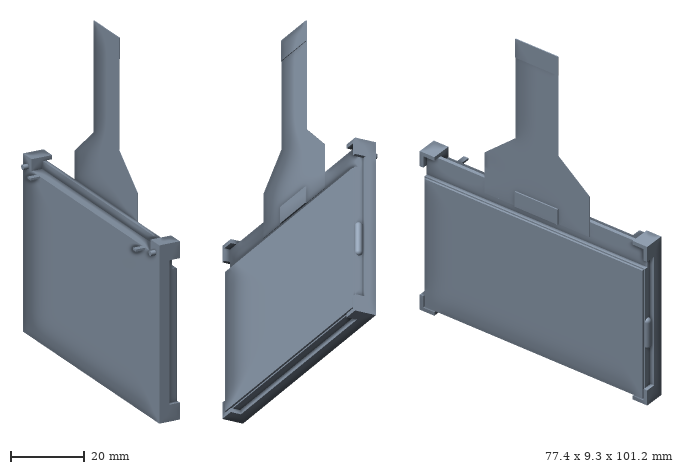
import cadquery as cq


housing_width = 77.4
housing_height = 52.2
housing_depth = 6.4
plate_thickness = 3.2
corner_length = 5.0
corner_wall = 1.2
shelf_height = 48.8

peg_diameter = 1.5
peg_length = 1.5
peg_edge_distance = 2.5
peg_height = 49.3
lead_width = 1.6
lead_thickness = 0.6
lead_length = 2.9
lead_edge_distance = 8.8

cell_gap = 0.3
glass_thickness = 1.1
cell_width = housing_width - 2 * corner_wall
cell_bottom = corner_wall
cell_top = housing_height - corner_wall
front_glass_top = 44.1
polarizer_inset = 0.4
rear_glass_y = plate_thickness + cell_gap
front_glass_y = rear_glass_y + glass_thickness
polarizer_y = front_glass_y + glass_thickness

seal_radius = glass_thickness
seal_bottom = 18.6
seal_top = 26.4

cable_thickness = 0.1
cable_bottom = 46.0
cable_taper_start = 59.4
cable_taper_end = 68.4
cable_top = 101.2
cable_base_width = 35.7
cable_tail_width = 14.6
stiffener_thickness = 0.2
stiffener_height = 6.2
bond_pad_thickness = 0.4


def block(width, x_center, y_start, y_end, z_start, z_end):
    """Box given by its X width and centre and by its Y and Z limits."""
    size = (width, y_end - y_start, z_end - z_start)
    return cq.Workplane("XY").box(*size, centered=(True, False, False)).translate(
        (x_center, y_start, z_start)
    )


def make_housing():
    """Back plate with four L-shaped corner walls, two pegs and two leads."""
    body = block(housing_width, 0, 0, housing_depth, 0, housing_height)

    body = body.cut(block(cell_width, 0, plate_thickness, housing_depth, cell_bottom, cell_top))

    opening_width = housing_width - 2 * corner_length
    opening_top = housing_height - corner_length
    body = body.cut(block(opening_width, 0, plate_thickness, housing_depth, 0, housing_height))
    body = body.cut(block(housing_width, 0, plate_thickness, housing_depth, corner_length, opening_top))

    body = body.cut(block(opening_width, 0, 0, plate_thickness, shelf_height, housing_height))

    for side in (-1, 1):
        peg_x = side * (housing_width / 2 - peg_edge_distance)
        peg = (
            cq.Workplane("XZ")
            .center(peg_x, peg_height)
            .circle(peg_diameter / 2)
            .extrude(peg_length)
        )
        lead_x = side * (housing_width / 2 - lead_edge_distance)
        lead = block(lead_width, lead_x, -lead_length, 0, shelf_height - lead_thickness, shelf_height)
        body = body.union(peg).union(lead)
    return body


def make_seal():
    """Round-ended capsule centred on the cell's left edge, so half of it stands out."""
    seal = (
        cq.Workplane("XY")
        .workplane(offset=seal_bottom)
        .circle(seal_radius)
        .extrude(seal_top - seal_bottom)
    )
    for end_height in (seal_bottom, seal_top):
        seal = seal.union(cq.Workplane("XY").sphere(seal_radius).translate((0, 0, end_height)))
    return seal.translate((-cell_width / 2, front_glass_y, 0))


def make_display():
    """Rear glass with a contact ledge, shorter front glass, polarizer and seal bead."""
    rear_glass = block(cell_width, 0, rear_glass_y, front_glass_y, cell_bottom, cell_top)
    front_glass = block(cell_width, 0, front_glass_y, polarizer_y, cell_bottom, front_glass_top)
    polarizer = block(
        cell_width - 2 * polarizer_inset,
        0,
        polarizer_y,
        housing_depth,
        cell_bottom + polarizer_inset,
        front_glass_top - polarizer_inset,
    )
    return rear_glass.union(front_glass).union(polarizer).union(make_seal())


def make_cable():
    """Flat cable bonded to the ledge, tapering to a tail, padded at both ends."""
    base = cable_base_width / 2
    tail = cable_tail_width / 2
    outline = [
        (-base, cable_bottom),
        (base, cable_bottom),
        (base, cable_taper_start),
        (tail, cable_taper_end),
        (tail, cable_top),
        (-tail, cable_top),
        (-tail, cable_taper_end),
        (-base, cable_taper_start),
    ]
    sheet_back = front_glass_y + cable_thickness
    sheet = cq.Workplane("XZ", origin=(0, sheet_back, 0)).polyline(outline).close().extrude(cable_thickness)
    stiffener = block(
        cable_tail_width,
        0,
        sheet_back,
        sheet_back + stiffener_thickness,
        cable_top - stiffener_height,
        cable_top,
    )
    bond_pad = block(
        cable_tail_width,
        0,
        sheet_back,
        sheet_back + bond_pad_thickness,
        cable_bottom,
        cell_top,
    )
    return sheet.union(stiffener).union(bond_pad)


housing = make_housing()
display = make_display()
cable = make_cable()

result = cq.Compound.makeCompound([housing.val(), display.val(), cable.val()])